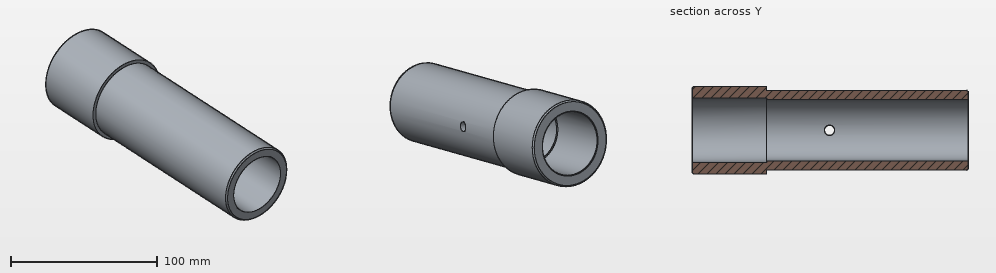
import cadquery as cq

length = 189.0
collar_length = 51.0
collar_diameter = 60.0
tube_diameter = 55.0
outer_chamfer = 1.0

collar_bore_diameter = 44.0
tube_bore_diameter = 42.0
bore_chamfer = 0.5

side_hole_diameter = 6.8
side_hole_from_collar_end = 94.0

collar_end_x = -length / 2
tube_end_x = length / 2
shoulder_x = collar_end_x + collar_length
side_hole_x = collar_end_x + side_hole_from_collar_end


def make_sleeve():
    """Revolve the half section: outside from the collar to the tube, then back along the bore."""
    collar_radius = collar_diameter / 2
    tube_radius = tube_diameter / 2
    collar_bore_radius = collar_bore_diameter / 2
    tube_bore_radius = tube_bore_diameter / 2
    half_section = [
        (collar_end_x, collar_radius - outer_chamfer),
        (collar_end_x + outer_chamfer, collar_radius),
        (shoulder_x, collar_radius),
        (shoulder_x, tube_radius),
        (tube_end_x - outer_chamfer, tube_radius),
        (tube_end_x, tube_radius - outer_chamfer),
        (tube_end_x, tube_bore_radius),
        (shoulder_x, tube_bore_radius),
        (shoulder_x, collar_bore_radius),
        (collar_end_x + bore_chamfer, collar_bore_radius),
        (collar_end_x, collar_bore_radius + bore_chamfer),
    ]
    return cq.Workplane("XY").polyline(half_section).close().revolve(360, (0, 0, 0), (1, 0, 0))


def make_side_hole():
    """Radial cutter from the axis out past the +Y wall."""
    circle = cq.Workplane("XZ").center(side_hole_x, 0).circle(side_hole_diameter / 2)
    return circle.extrude(-tube_diameter)


result = make_sleeve().cut(make_side_hole())